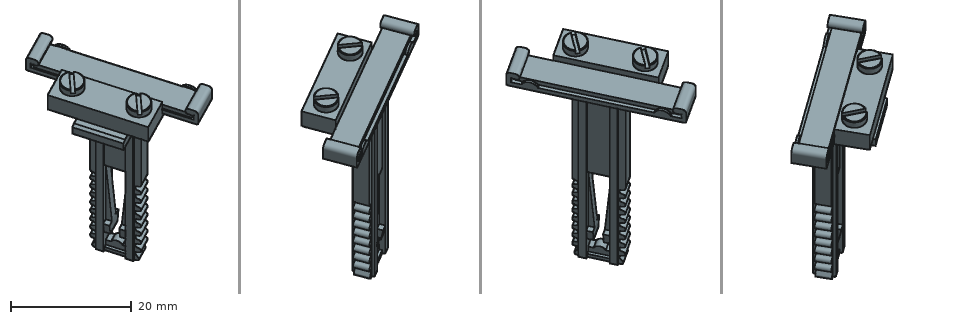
import cadquery as cq
import math


CARRIER_HALF_WIDTH = 31.1 / 2
CARRIER_DEPTH = 6.0
BASE_BOTTOM = 41.15
BASE_TOP = 42.15
HOOK_WALL = 0.8
HOOK_TOP = 44.5
HOOK_REACH = 2.35
HOOK_RADIUS = 0.78
HOOK_FOOT_RADIUS = 0.4

PLATE_TOP = 43.15
PLATE_HALF_WIDTH = 14.45
PLATE_BACK = 0.7
PLATE_FRONT = 5.7
PLATE_CORNER_RADIUS = 0.5

LUG_X = 11.45
LUG_HALF_CHORD = 1.45
LUG_THICKNESS = 0.45

FRONT = 12.0
BLOCK_HALF_WIDTH = 9.1
BLOCK_BOTTOM = 40.35
BLOCK_TOP = 44.15
BLOCK_CHAMFER_DEPTH = 0.45
BLOCK_CHAMFER_HEIGHT = 0.15

TOTAL_HEIGHT = 45.65
SCREW_X = 6.02
SCREW_Y = 8.7
SCREW_HEAD_RADIUS = 2.1
SCREW_HEAD_CHAMFER = 0.15
SCREW_SLOT_WIDTH = 0.75
SCREW_SLOT_DEPTH = 0.78
SCREW_SLOT_ANGLE = -63.4
SCREW_TIP_Z = 39.55
SCREW_TIP_RADIUS = 0.2
SCREW_SHANK_RADIUS = 0.5

LEG_HALF_WIDTH = 4.6
LEG_MIDDLE = 3.05
RIB_BACK = LEG_MIDDLE - 1.95
RIB_FRONT = LEG_MIDDLE + 1.95
WEB_BACK = LEG_MIDDLE - 1.4
WEB_FRONT = LEG_MIDDLE + 1.4
RIB_INNER = 2.0
RIB_OUTER = 3.4
RIB_FOOT_CHAMFER = 0.25
RIB_FLARE = 0.35

TOOTH_COUNT = 8
TOP_TOOTH_Z = 17.3
BOTTOM_TOOTH_Z = 2.75
TOOTH_PITCH = (TOP_TOOTH_Z - BOTTOM_TOOTH_Z) / (TOOTH_COUNT - 1)
TOOTH_RADIUS = 0.55
GROOVE_RADIUS = TOOTH_PITCH / 2 - TOOTH_RADIUS
FOOT_HALF_WIDTH = 4.25
FOOT_RADIUS = 0.5

ARM_BOTTOM = 36.35
ARM_TOP = 38.25
ARM_CHAMFER_DEPTH = 0.7
ARM_CHAMFER_HEIGHT = 0.27
ARM_ROOT_CHAMFER = 0.2
GUSSET_WIDTH = 1.5
GUSSET_HEIGHT = 1.05

WINDOW_TOP = 21.55
INNER_BACK = LEG_MIDDLE - 0.85
INNER_FRONT = LEG_MIDDLE + 0.85
LEAF_TIP_X = 0.85
CATCH_TOP = 7.25
CATCH_BOTTOM = 4.8
CATCH_FOOT_INSET = 0.4
CROSSBAR_TOP = 2.05
CROSSBAR_LIP_TOP = 0.8
BUMP_HALF_WIDTH = 1.05
BUMP_HEIGHT = 0.7

HALF_BEND = math.sqrt(0.5)


def box(x_min, x_max, back, front, z_min, z_max):
    """Box between two X values, two depths in front of Y = 0 and two heights."""
    size = (x_max - x_min, front - back, z_max - z_min)
    return cq.Workplane("XY").box(*size, centered=False).translate((x_min, -front, z_min))


def facing(depth):
    """Sketch plane parallel to XZ at a depth; extruding runs further to the front."""
    return cq.Workplane("XZ", origin=(0, -depth, 0))


def both_sides(body):
    return body.union(body.mirror("YZ"))


def hook():
    outer = CARRIER_HALF_WIDTH
    tip = outer - HOOK_REACH
    arc_z = HOOK_TOP - HOOK_RADIUS
    bend = HOOK_RADIUS * HALF_BEND
    mouth_drop = arc_z - PLATE_TOP
    mouth_x = tip + HOOK_RADIUS - math.sqrt(HOOK_RADIUS**2 - mouth_drop**2)
    return (
        facing(0)
        .moveTo(outer - HOOK_WALL, BASE_BOTTOM)
        .lineTo(outer - HOOK_FOOT_RADIUS, BASE_BOTTOM)
        .radiusArc((outer, BASE_BOTTOM + HOOK_FOOT_RADIUS), -HOOK_FOOT_RADIUS)
        .lineTo(outer, arc_z)
        .threePointArc((outer - HOOK_RADIUS + bend, arc_z + bend), (outer - HOOK_RADIUS, HOOK_TOP))
        .lineTo(tip + HOOK_RADIUS, HOOK_TOP)
        .threePointArc((tip + HOOK_RADIUS - bend, arc_z + bend), (mouth_x, PLATE_TOP))
        .lineTo(outer - HOOK_WALL, PLATE_TOP)
        .close()
        .extrude(CARRIER_DEPTH)
    )


def lug():
    return (
        facing(0)
        .moveTo(LUG_X - LUG_HALF_CHORD, BASE_TOP)
        .threePointArc((LUG_X, PLATE_TOP), (LUG_X + LUG_HALF_CHORD, BASE_TOP))
        .close()
        .extrude(LUG_THICKNESS)
    )


def carrier():
    base_half_width = CARRIER_HALF_WIDTH - HOOK_WALL
    base = box(-base_half_width, base_half_width, 0, CARRIER_DEPTH, BASE_BOTTOM, BASE_TOP)
    plate = box(-PLATE_HALF_WIDTH, PLATE_HALF_WIDTH, PLATE_BACK, PLATE_FRONT, BASE_TOP, PLATE_TOP)
    plate = plate.edges("|Z").fillet(PLATE_CORNER_RADIUS)
    return base.union(plate).union(both_sides(hook())).union(both_sides(lug()))


def clamp_block():
    return (
        cq.Workplane("YZ", origin=(-BLOCK_HALF_WIDTH, 0, 0))
        .moveTo(-WEB_BACK, BLOCK_BOTTOM)
        .lineTo(-FRONT + BLOCK_CHAMFER_DEPTH, BLOCK_BOTTOM)
        .lineTo(-FRONT, BLOCK_BOTTOM + BLOCK_CHAMFER_HEIGHT)
        .lineTo(-FRONT, BLOCK_TOP)
        .lineTo(-CARRIER_DEPTH, BLOCK_TOP)
        .lineTo(-CARRIER_DEPTH, BASE_BOTTOM)
        .lineTo(-WEB_BACK, BASE_BOTTOM)
        .close()
        .extrude(2 * BLOCK_HALF_WIDTH)
    )


def screw(x):
    head = (
        cq.Workplane("XY", origin=(0, 0, BLOCK_TOP))
        .circle(SCREW_HEAD_RADIUS)
        .extrude(TOTAL_HEIGHT - BLOCK_TOP)
        .faces(">Z")
        .chamfer(SCREW_HEAD_CHAMFER)
    )
    slot = (
        cq.Workplane("XY", origin=(0, 0, TOTAL_HEIGHT))
        .rect(2 * SCREW_HEAD_RADIUS, SCREW_SLOT_WIDTH)
        .extrude(-SCREW_SLOT_DEPTH)
        .rotate((0, 0, 0), (0, 0, 1), SCREW_SLOT_ANGLE)
    )
    tip = (
        cq.Workplane("XY", origin=(0, 0, SCREW_TIP_Z))
        .circle(SCREW_TIP_RADIUS)
        .workplane(offset=BLOCK_BOTTOM - SCREW_TIP_Z)
        .circle(SCREW_SHANK_RADIUS)
        .loft()
    )
    return head.cut(slot).union(tip).translate((x, -SCREW_Y, 0))


def toothed_half_web():
    """Right half of the web, from the centre line out to the teeth."""
    tooth_x = LEG_HALF_WIDTH - TOOTH_RADIUS
    root_x = tooth_x - GROOVE_RADIUS
    foot_x = FOOT_HALF_WIDTH - FOOT_RADIUS
    tooth_bend = TOOTH_RADIUS * HALF_BEND
    groove_bend = GROOVE_RADIUS * HALF_BEND
    foot_bend = FOOT_RADIUS * HALF_BEND

    def round_under(path, tip_z):
        return path.threePointArc((tooth_x + tooth_bend, tip_z - tooth_bend), (tooth_x, tip_z - TOOTH_RADIUS))

    outline = facing(WEB_BACK).moveTo(0, ARM_BOTTOM).lineTo(LEG_HALF_WIDTH, ARM_BOTTOM)
    outline = outline.lineTo(LEG_HALF_WIDTH, TOP_TOOTH_Z + TOOTH_PITCH)
    for index in range(TOOTH_COUNT):
        tooth_z = TOP_TOOTH_Z - index * TOOTH_PITCH
        groove_z = tooth_z + TOOTH_PITCH / 2
        outline = (
            round_under(outline, tooth_z + TOOTH_PITCH)
            .threePointArc((root_x, groove_z), (tooth_x, tooth_z + TOOTH_RADIUS))
            .threePointArc((tooth_x + tooth_bend, tooth_z + tooth_bend), (LEG_HALF_WIDTH, tooth_z))
        )

    last_groove_z = BOTTOM_TOOTH_Z - TOOTH_PITCH / 2
    return (
        round_under(outline, BOTTOM_TOOTH_Z)
        .threePointArc((root_x, last_groove_z), (tooth_x - groove_bend, last_groove_z - groove_bend))
        .lineTo(foot_x + foot_bend, FOOT_RADIUS + foot_bend)
        .threePointArc((foot_x + foot_bend, FOOT_RADIUS - foot_bend), (foot_x, 0))
        .lineTo(0, 0)
        .close()
        .extrude(WEB_FRONT - WEB_BACK)
    )


def rib():
    """Right-hand rib: full leg depth below the arm, and a flared back strip up to the base."""
    return (
        cq.Workplane("YZ", origin=(RIB_INNER, 0, 0))
        .moveTo(-RIB_BACK - RIB_FOOT_CHAMFER, 0)
        .lineTo(-RIB_FRONT + RIB_FOOT_CHAMFER, 0)
        .lineTo(-RIB_FRONT, RIB_FOOT_CHAMFER)
        .lineTo(-RIB_FRONT, ARM_BOTTOM)
        .lineTo(-WEB_BACK, ARM_BOTTOM)
        .lineTo(-WEB_BACK, BASE_BOTTOM)
        .lineTo(-RIB_BACK + RIB_FLARE, BASE_BOTTOM)
        .lineTo(-RIB_BACK, BASE_BOTTOM - RIB_FLARE)
        .lineTo(-RIB_BACK, RIB_FOOT_CHAMFER)
        .close()
        .extrude(RIB_OUTER - RIB_INNER)
    )


def leg_head():
    neck = (
        cq.Workplane("YZ", origin=(-LEG_HALF_WIDTH, 0, 0))
        .moveTo(-WEB_BACK, ARM_BOTTOM)
        .lineTo(-FRONT, ARM_BOTTOM)
        .lineTo(-FRONT, ARM_TOP - ARM_CHAMFER_HEIGHT)
        .lineTo(-FRONT + ARM_CHAMFER_DEPTH, ARM_TOP)
        .lineTo(-RIB_FRONT - ARM_ROOT_CHAMFER, ARM_TOP)
        .lineTo(-RIB_FRONT, ARM_TOP + ARM_ROOT_CHAMFER)
        .lineTo(-RIB_FRONT, BLOCK_BOTTOM)
        .lineTo(-WEB_BACK, BLOCK_BOTTOM)
        .close()
        .extrude(2 * LEG_HALF_WIDTH)
    )
    gusset = (
        facing(WEB_BACK)
        .moveTo(LEG_HALF_WIDTH, BLOCK_BOTTOM)
        .lineTo(LEG_HALF_WIDTH + GUSSET_WIDTH, BLOCK_BOTTOM)
        .lineTo(LEG_HALF_WIDTH, BLOCK_BOTTOM - GUSSET_HEIGHT)
        .close()
        .extrude(RIB_FRONT - WEB_BACK)
    )
    return neck.union(both_sides(gusset))


def spring_leaf():
    """Right leaf: a wedge growing down the window wall, ending in a catch sloped front and back."""
    leaf = (
        facing(INNER_BACK)
        .moveTo(RIB_INNER, WINDOW_TOP)
        .lineTo(LEAF_TIP_X, CATCH_TOP)
        .lineTo(LEAF_TIP_X, CATCH_BOTTOM)
        .lineTo(RIB_INNER, CATCH_BOTTOM)
        .close()
        .extrude(INNER_FRONT - INNER_BACK)
    )
    catch = (
        cq.Workplane("YZ", origin=(LEAF_TIP_X, 0, 0))
        .moveTo(-RIB_BACK, CATCH_TOP)
        .lineTo(-RIB_FRONT, CATCH_TOP)
        .lineTo(-RIB_FRONT + CATCH_FOOT_INSET, CATCH_BOTTOM)
        .lineTo(-RIB_BACK - CATCH_FOOT_INSET, CATCH_BOTTOM)
        .close()
        .extrude(RIB_INNER - LEAF_TIP_X)
    )
    return leaf.union(catch)


def crossbar():
    bar = box(-RIB_INNER, RIB_INNER, INNER_BACK, INNER_FRONT, 0, CROSSBAR_TOP)
    lip = box(-RIB_INNER, RIB_INNER, WEB_BACK, WEB_FRONT, 0, CROSSBAR_LIP_TOP)
    bump = (
        facing(INNER_BACK)
        .moveTo(-BUMP_HALF_WIDTH, CROSSBAR_TOP)
        .threePointArc((0, CROSSBAR_TOP + BUMP_HEIGHT), (BUMP_HALF_WIDTH, CROSSBAR_TOP))
        .close()
        .extrude(INNER_FRONT - INNER_BACK)
    )
    return bar.union(lip).union(bump)


def leg():
    window = box(-RIB_INNER, RIB_INNER, WEB_BACK, WEB_FRONT, 0, WINDOW_TOP)
    web = both_sides(toothed_half_web()).cut(window)
    body = web.union(both_sides(rib())).union(leg_head())
    return body.union(both_sides(spring_leaf())).union(crossbar())


result = carrier().union(clamp_block()).union(leg())
for screw_x in (-SCREW_X, SCREW_X):
    result = result.union(screw(screw_x))